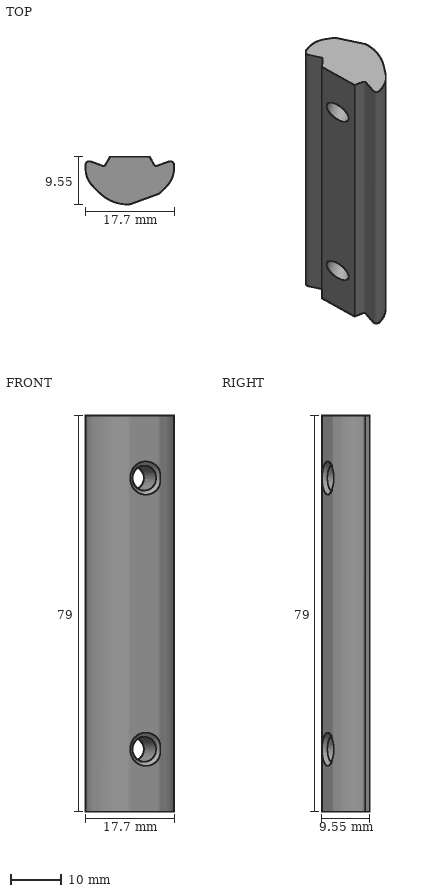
import cadquery as cq
import math

length = 79.0
half_width = 8.85
depth = 9.55

rib_half_width = 3.95
rib_wall_angle = 60.0
lip_corner_y = -0.55
lip_angle = 20.0

flank_corner_y = -4.4
face_angle = 20.0
face_start_x = -0.1

lip_radius = 0.8
groove_radius = 0.4
side_radius = 5.1
belly_radius = 8.05
face_start_radius = 1.35
face_end_radius = 1.3

hole_diameter = 5.0
countersink_diameter = 6.6
countersink_angle = 90.0
hole_end_offset = 12.5
hole_distance_along_face = 3.5

lip_slope = math.tan(math.radians(lip_angle))
rib_slope = math.tan(math.radians(rib_wall_angle))
face_cos = math.cos(math.radians(face_angle))
face_sin = math.sin(math.radians(face_angle))
face_slope = face_sin / face_cos

groove_x = (rib_slope * rib_half_width - lip_corner_y + lip_slope * half_width) / (rib_slope + lip_slope)
groove_y = -rib_slope * (groove_x - rib_half_width)

belly_corner_x = -(half_width - flank_corner_y - depth)
face_end_x = (half_width - flank_corner_y - depth - face_slope * face_start_x) / (1 - face_slope)
face_end_y = -depth + face_slope * (face_end_x - face_start_x)

corners = [
    (rib_half_width, 0, 0),
    (groove_x, groove_y, groove_radius),
    (half_width, lip_corner_y, lip_radius),
    (half_width, flank_corner_y, side_radius),
    (face_end_x, face_end_y, face_end_radius),
    (face_start_x, -depth, face_start_radius),
    (belly_corner_x, -depth, belly_radius),
    (-half_width, flank_corner_y, side_radius),
    (-half_width, lip_corner_y, lip_radius),
    (-groove_x, groove_y, groove_radius),
    (-rib_half_width, 0, 0),
]


def rounded_corner(before, corner, after):
    """Return the start, middle and end points of the tangent arc in a corner."""
    x, y, radius = corner
    here = cq.Vector(x, y)
    to_before = (cq.Vector(*before[:2]) - here).normalized()
    to_after = (cq.Vector(*after[:2]) - here).normalized()
    half_angle = to_before.getAngle(to_after) / 2
    tangent_length = radius / math.tan(half_angle)
    bisector = (to_before + to_after).normalized()
    arc_start = here + to_before * tangent_length
    arc_middle = here + bisector * (radius / math.sin(half_angle) - radius)
    arc_end = here + to_after * tangent_length
    return arc_start.toTuple()[:2], arc_middle.toTuple()[:2], arc_end.toTuple()[:2]


def make_bar():
    section = cq.Workplane("XY").moveTo(*corners[-1][:2])
    for index, corner in enumerate(corners):
        x, y, radius = corner
        if radius == 0:
            section = section.lineTo(x, y)
            continue
        arc_start, arc_middle, arc_end = rounded_corner(corners[index - 1], corner, corners[index + 1])
        section = section.lineTo(*arc_start).threePointArc(arc_middle, arc_end)
    return section.close().extrude(length)


def drill_holes(bar):
    mouth_x = face_start_x + hole_distance_along_face * face_cos
    mouth_y = -depth + hole_distance_along_face * face_sin
    face_plane = cq.Plane(
        origin=(mouth_x, mouth_y, 0),
        xDir=(face_cos, face_sin, 0),
        normal=(face_sin, -face_cos, 0),
    )
    hole_places = [(0, hole_end_offset), (0, length - hole_end_offset)]
    return (
        bar.copyWorkplane(cq.Workplane(face_plane))
        .pushPoints(hole_places)
        .cskHole(hole_diameter, countersink_diameter, countersink_angle)
    )


result = drill_holes(make_bar())